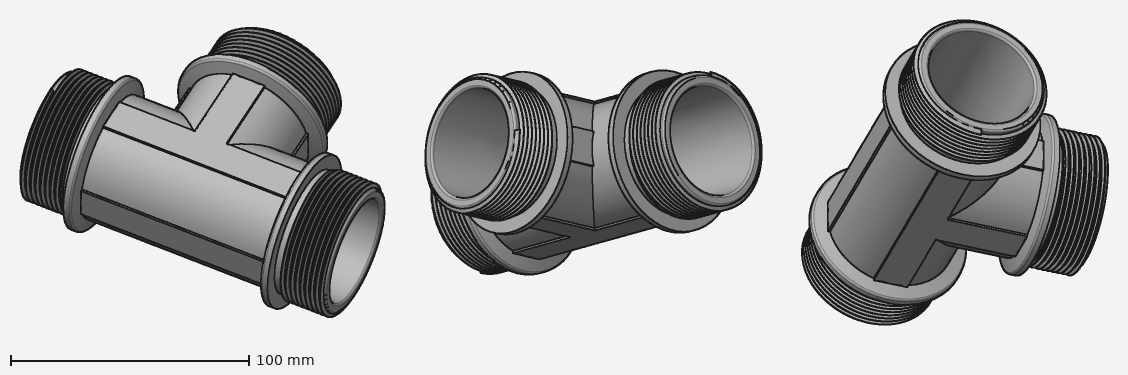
import cadquery as cq
import math

arm_length = 72.0
pipe_radius = 28.0
bore_mouth_radius = 23.5
bore_center_radius = 22.7
rim_fillet = 1.0

flange_radius = 34.5
flange_start = 24.0
flange_end = 29.0
flange_back_angle = 15.0
flange_fillet = 1.0

thread_pitch = 2.309
thread_turns = 9
thread_start = 1.1
thread_end = 20.6
thread_crest_radius = 29.8
thread_root_width = 1.6
thread_crest_width = 0.3
thread_overlap = 0.4

pad_width = 15.0

barrel_length = arm_length - flange_end


def make_port_blank():
    """Solid pipe end with flange: open end at the origin, tee centre towards +Z."""
    neck = cq.Workplane("XY").circle(pipe_radius).extrude(flange_end)
    neck = neck.faces("<Z").edges().fillet(rim_fillet)
    back_drop = (flange_radius - pipe_radius) * math.tan(math.radians(flange_back_angle))
    edge_end = flange_end - back_drop
    flange = (
        cq.Workplane("XZ")
        .moveTo(0, flange_start)
        .lineTo(flange_radius, flange_start)
        .lineTo(flange_radius, edge_end)
        .lineTo(pipe_radius, flange_end)
        .lineTo(0, flange_end)
        .close()
        .revolve(360, (0, 0), (0, 1))
    )
    flange = flange.edges(cq.NearestToPointSelector((0, 0, edge_end))).fillet(flange_fillet)
    return neck.union(flange)


def make_thread():
    """Right-handed helical ridge around the pipe end, starting on local +X."""
    ridge_base = pipe_radius - thread_overlap
    flank_slope = (thread_root_width - thread_crest_width) / 2 / (thread_crest_radius - pipe_radius)
    half_crest = thread_crest_width / 2
    half_base = thread_root_width / 2 + flank_slope * thread_overlap
    path = cq.Wire.makeHelix(thread_pitch, thread_pitch * thread_turns, ridge_base)
    ridge = (
        cq.Workplane("XZ")
        .moveTo(ridge_base, -half_base)
        .lineTo(thread_crest_radius, -half_crest)
        .lineTo(thread_crest_radius, half_crest)
        .lineTo(ridge_base, half_base)
        .close()
        .sweep(cq.Workplane(obj=path), isFrenet=True)
    )
    kept_length = cq.Workplane("XY").circle(flange_radius).extrude(thread_end)
    return ridge.translate((0, 0, thread_start)).intersect(kept_length)


def make_bore():
    """Tapered bore from the open end to the tee centre, with a rounded mouth."""
    return (
        cq.Workplane("XZ")
        .lineTo(bore_mouth_radius + rim_fillet, 0)
        .radiusArc((bore_mouth_radius, rim_fillet), rim_fillet)
        .lineTo(bore_center_radius, arm_length)
        .lineTo(0, arm_length)
        .close()
        .revolve(360, (0, 0), (0, 1))
    )


def make_barrel(plane, length, pad_directions):
    """Round bar with flat strips tangent to it, each facing a local angle in degrees."""
    barrel = cq.Workplane(plane).circle(pipe_radius).extrude(length)
    half_pad = pad_width / 2
    for direction in pad_directions:
        strip = (
            cq.Workplane(plane)
            .transformed(rotate=(0, 0, direction))
            .moveTo(0, -half_pad)
            .lineTo(pipe_radius, -half_pad)
            .lineTo(pipe_radius, half_pad)
            .lineTo(0, half_pad)
            .close()
            .extrude(length)
        )
        barrel = barrel.union(strip)
    return barrel


port_planes = [
    cq.Plane(origin=(-arm_length, 0, 0), xDir=(0, 0, 1), normal=(1, 0, 0)),
    cq.Plane(origin=(arm_length, 0, 0), xDir=(0, 0, -1), normal=(-1, 0, 0)),
    cq.Plane(origin=(0, arm_length, 0), xDir=(-1, 0, 0), normal=(0, -1, 0)),
]

run_plane = cq.Plane(origin=(-barrel_length, 0, 0), xDir=(0, 0, 1), normal=(1, 0, 0))
branch_plane = cq.Plane(origin=(0, barrel_length, 0), xDir=(-1, 0, 0), normal=(0, -1, 0))
body = make_barrel(run_plane, 2 * barrel_length, (0, 90, 180))
body = body.union(make_barrel(branch_plane, barrel_length, (0, 90, 180, 270)))

port_blank = make_port_blank().val()
thread = make_thread().val()
bore = make_bore().val()

for port_plane in port_planes:
    body = body.union(cq.Workplane(obj=port_blank.moved(port_plane.location)))
for port_plane in port_planes:
    body = body.cut(cq.Workplane(obj=bore.moved(port_plane.location)))
for port_plane in port_planes:
    body = body.union(cq.Workplane(obj=thread.moved(port_plane.location)))

result = body.solids()